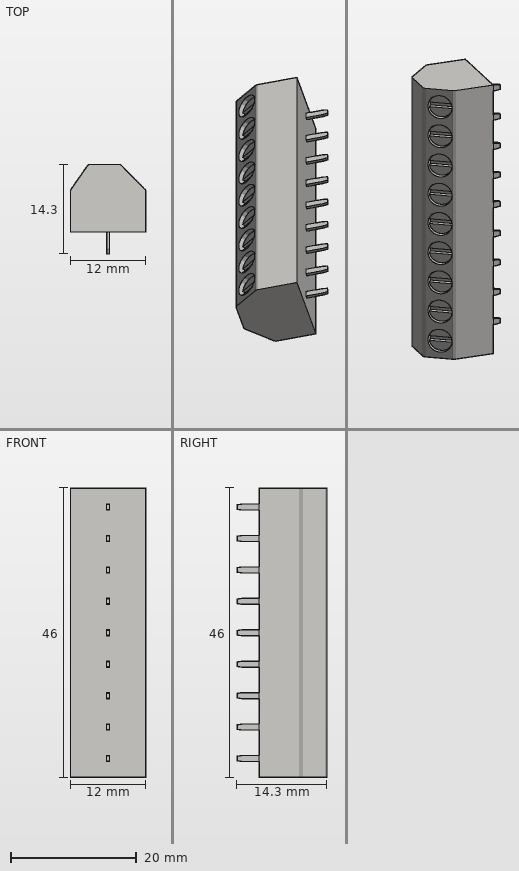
import cadquery as cq

pole_count = 9
pitch = 5.0
end_margin = 3.0
body_width = 12.0
body_depth = 10.8
body_height = (pole_count - 1) * pitch + 2 * end_margin

screw_slope_width = 2.85
screw_slope_depth = 4.1
plain_slope_width = 4.05
plain_slope_depth = 4.1
slope_edge_radius = 0.5

recess_diameter = 3.9
recess_depth = 0.8
slot_width = 0.8
slot_depth = 0.8
recess_offset = 2.2

pin_width = 0.5
pin_height = 1.0
pin_length = 3.5
pin_tip_length = 0.8
pin_tip_height = 0.75

left = -body_width / 2
right = body_width / 2
back = body_depth
pole_heights = [end_margin + i * pitch for i in range(pole_count)]


def make_body():
    """Prism along Z with a slanted face at each back corner, its edges rounded."""
    outline = [
        (left, 0),
        (right, 0),
        (right, back - plain_slope_depth),
        (right - plain_slope_width, back),
        (left + screw_slope_width, back),
        (left, back - screw_slope_depth),
    ]
    body = cq.Workplane("XY").polyline(outline).close().extrude(body_height)
    return body.edges("|Z and (not <Y)").fillet(slope_edge_radius)


def make_screw_recess(height):
    """Round recess with a driver slot across its floor, sunk into the screw face."""
    recess_x = left + screw_slope_width * (1 - recess_offset / screw_slope_depth)
    face_plane = cq.Plane(
        origin=(recess_x, back - recess_offset, height),
        xDir=(screw_slope_width, screw_slope_depth, 0),
        normal=(-screw_slope_depth, screw_slope_width, 0),
    )
    radius = recess_diameter / 2
    recess = cq.Workplane(face_plane).circle(radius).extrude(-recess_depth)
    full_depth = recess_depth + slot_depth
    well = cq.Workplane(face_plane).circle(radius).extrude(-full_depth)
    slot = cq.Workplane(face_plane).rect(recess_diameter, slot_width).extrude(-full_depth)
    return recess.union(well.intersect(slot))


def make_pin(height):
    """Flat pin toward -Y with its tip tapered in height."""
    half = pin_height / 2
    half_tip = pin_tip_height / 2
    shoulder = pin_tip_length - pin_length
    outline = [
        (0, -half),
        (0, half),
        (shoulder, half),
        (-pin_length, half_tip),
        (-pin_length, -half_tip),
        (shoulder, -half),
    ]
    pin = cq.Workplane("YZ").polyline(outline).close().extrude(pin_width / 2, both=True)
    return pin.translate((0, 0, height))


result = make_body()
for pole_height in pole_heights:
    result = result.cut(make_screw_recess(pole_height))
    result = result.union(make_pin(pole_height))